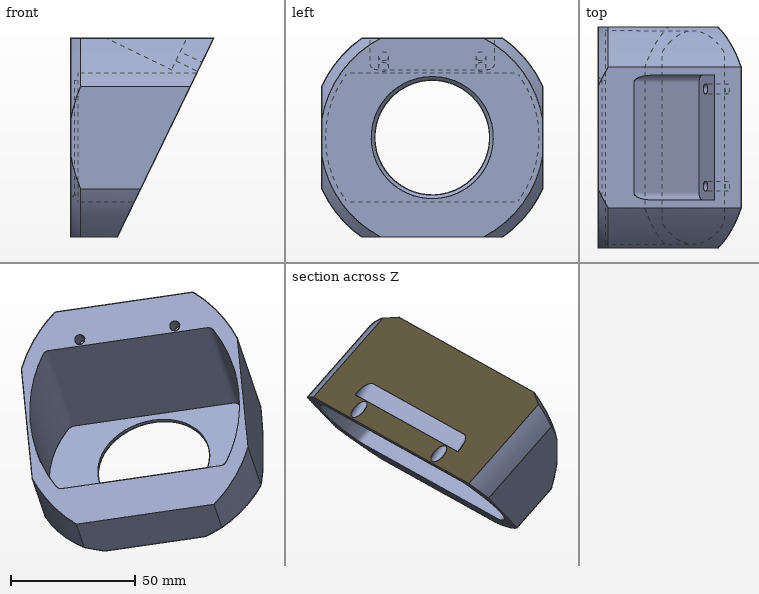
import cadquery as cq
import math

width = 89.0
height = 80.0
top_depth = 57.6
bottom_depth = 18.8

outer_radius = 49.0
outer_chamfer = 4.0
bore_radius = 23.05
bore_chamfer = 1.5

front_wall = 3.0
cavity_radius = 43.0
cavity_height = 52.0
corner_fillet = 3.0

pocket_start = 14.3
pocket_end = 46.7
pocket_width = 50.2

screw_spacing = 39.2
screw_diameter = 4.0
screw_drop = 7.3

top = height / 2
slope_run = top_depth - bottom_depth
slope_angle = math.atan2(slope_run, height)


def flattened_cylinder(radius, flat_height, start):
    """Cylinder along X with flat top and bottom, running to the top depth."""
    length = top_depth - start
    cylinder = cq.Workplane("YZ", origin=(start, 0, 0)).circle(radius).extrude(length)
    slab = cq.Workplane("YZ", origin=(start, 0, 0)).rect(2 * radius, flat_height).extrude(length)
    return cylinder.intersect(slab)


def make_body():
    """Chamfered cylinder trimmed by four flats and the sloping face."""
    cylinder = (
        cq.Workplane("YZ").circle(outer_radius).extrude(top_depth)
        .faces("<X").chamfer(outer_chamfer)
    )
    envelope = (
        cq.Workplane("XZ")
        .polyline([(0, -top), (bottom_depth, -top), (top_depth, top), (0, top)]).close()
        .extrude(width / 2, both=True)
    )
    return cylinder.intersect(envelope)


def make_bore():
    """Through bore with a countersunk mouth on the flat face."""
    bore = cq.Workplane("YZ").circle(bore_radius).extrude(front_wall)
    mouth = cq.Solid.makeCone(
        bore_radius + bore_chamfer, bore_radius, bore_chamfer,
        pnt=cq.Vector(0, 0, 0), dir=cq.Vector(1, 0, 0),
    )
    return bore.union(cq.Workplane(mouth))


def make_cavity():
    """Flattened round cavity behind the front wall."""
    return flattened_cylinder(cavity_radius, cavity_height, front_wall).edges("|X").fillet(corner_fillet)


def make_pocket():
    """Pocket whose floor and end wall meet at a right angle."""
    floor_length = (pocket_end - pocket_start) * math.cos(slope_angle)
    corner_x = pocket_start + floor_length * math.cos(slope_angle)
    corner_z = top - floor_length * math.sin(slope_angle)
    plane = cq.Plane(
        origin=(corner_x, 0, corner_z),
        xDir=(math.cos(slope_angle), 0, -math.sin(slope_angle)),
        normal=(math.sin(slope_angle), 0, math.cos(slope_angle)),
    )
    block = (
        cq.Workplane(plane).center(-floor_length, 0)
        .rect(2 * floor_length, pocket_width).extrude(floor_length)
    )
    return block.faces(cq.selectors.DirectionMinMaxSelector(plane.zDir, False)).edges(
        cq.selectors.ParallelDirSelector(plane.xDir)
    ).fillet(corner_fillet)


def make_screw_holes():
    """Holes square to the sloping face, from the pocket out through its end wall."""
    mouth_x = pocket_end - screw_drop * math.tan(slope_angle)
    plane = cq.Plane(
        origin=(mouth_x, 0, top - screw_drop),
        xDir=(0, 1, 0),
        normal=(math.cos(slope_angle), 0, -math.sin(slope_angle)),
    )
    return (
        cq.Workplane(plane).rarray(screw_spacing, 0.9, 2, 1)
        .circle(screw_diameter / 2).extrude(top_depth - pocket_end)
    )


result = make_body()
for cutter in (make_bore(), make_cavity(), make_pocket(), make_screw_holes()):
    result = result.cut(cutter)